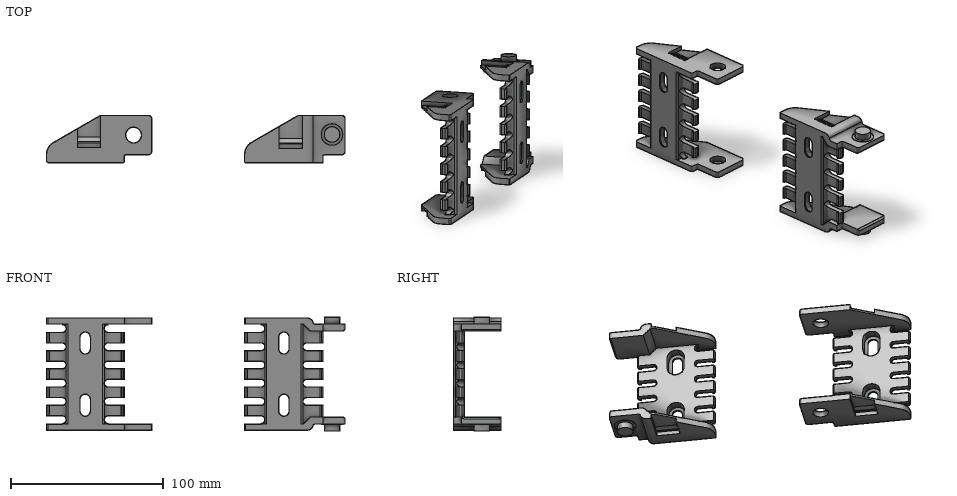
import cadquery as cq
import math

TOTAL_LENGTH = 195.5
DEPTH = 31.0
HEIGHT = 73.5
FLANGE = 4.1
TOP = HEIGHT / 2
FLANGE_INSIDE = TOP - FLANGE

WEB_HALF_WIDTH = 11.3
WEB_DEPTH = 7.0
WEB_CHAMFER = 1.2
FINGER_FRONT = 3.7
FINGER_ROOT_RADIUS = 2.0
FINGER_WIDTH = 7.0
FINGER_PITCH = 12.0
FINGER_COUNT = 5
GAP_WIDTH = FINGER_PITCH - FINGER_WIDTH
GAP_REACH = 12.5
RIGHT_REACH = 25.6

TIP_LENGTH = 2.2
TIP_CREST_START = 2.0
TIP_CREST_END = 1.0
TIP_CREST_Y = 2.3
TIP_BACK_CHAMFER = (0.8, 1.5)

SLOT_WIDTH = 6.6
SLOT_LENGTH = 14.3
SLOT_OFFSET = 20.3
SLOT_LIP = 1.0
SLOT_RELIEF = 2.3

SLOPE_ANGLE = 30.0
NOSE_RADIUS = 9.4
STEP_DEPTH = 5.3
STEP_RADIUS = 1.2
ARM_CORNER_RADIUS = 2.2

POCKET_DEPTH = 2.7
RIDGE_HEIGHT = 1.2
RIDGE_RAMP = 3.0

FEMALE_LEFT_REACH = 25.5
FEMALE_LENGTH = 69.0
FEMALE_SLOPE_END = 35.4
FEMALE_POCKET = (20.5, FEMALE_SLOPE_END)
FEMALE_RIDGE = (10.0, 13.0, 14.0)
FEMALE_FOOT_CHAMFER = 1.2
FOOT_RADIUS = 1.2
HOLE_DIAMETER = 10.2
HOLE_X = 57.0
HOLE_Y = 18.2

MALE_LEFT_REACH = 25.8
MALE_LENGTH = 65.9
MALE_SLOPE_END = 35.2
MALE_POCKET = (22.5, 38.0)
MALE_RIDGE = (9.4, 12.3, 13.0)
MALE_FOOT_CHAMFER = 0.5
PIN_DIAMETER = 10.2
PIN_SPAN = 74.5
PIN_TOP = PIN_SPAN / 2
PIN_X = 57.3
PIN_Y = 18.5
BOSS_DIAMETER = 14.0
BOSS_HEIGHT = 0.2
ARM_OUTSIDE = FLANGE_INSIDE
ARM_INSIDE = 28.2
JOG_START = 41.3
JOG_CROWN = (43.4, 36.0)
JOG_MIDDLE = (44.8, 34.5)
INNER_JOG = (38.5, 43.0)
ARM_TIP_CHAMFER = 1.2


def both_ends(shape):
    """The shape and its mirror image across z = 0."""
    return shape.union(shape.mirror("XY"))


def web_half(reach, gap_count):
    """Right half of the web with its comb fingers, x = 0 at the web middle.

    One gap more than there are fingers frees the outer fingers from the flanges;
    one gap fewer leaves them joined to the arms.
    """
    edge = WEB_HALF_WIDTH + WEB_CHAMFER
    turn = FINGER_ROOT_RADIUS * (1 - math.sqrt(0.5))
    back_x, back_y = TIP_BACK_CHAMFER
    profile = (
        cq.Workplane("XY")
        .moveTo(0, 0)
        .lineTo(WEB_HALF_WIDTH, 0)
        .lineTo(edge, WEB_CHAMFER)
        .lineTo(edge, FINGER_FRONT - FINGER_ROOT_RADIUS)
        .threePointArc(
            (edge + turn, FINGER_FRONT - turn),
            (edge + FINGER_ROOT_RADIUS, FINGER_FRONT),
        )
        .lineTo(reach - TIP_LENGTH, FINGER_FRONT)
        .lineTo(reach - TIP_CREST_START, TIP_CREST_Y)
        .lineTo(reach - TIP_CREST_END, TIP_CREST_Y)
        .lineTo(reach, FINGER_FRONT)
        .lineTo(reach, WEB_DEPTH - back_y)
        .lineTo(reach - back_x, WEB_DEPTH)
        .lineTo(0, WEB_DEPTH)
        .close()
    )
    half = profile.extrude(FLANGE_INSIDE, both=True)
    for number in range(gap_count):
        z = (number - (gap_count - 1) / 2) * FINGER_PITCH
        gap = (
            cq.Workplane("XZ", origin=(GAP_REACH + reach / 2, 0, z))
            .slot2D(reach, GAP_WIDTH)
            .extrude(-WEB_DEPTH)
        )
        half = half.cut(gap)
    if gap_count > FINGER_COUNT:
        outer_gap = FINGER_COUNT / 2 * FINGER_PITCH
        sliver = (
            cq.Workplane("XY", origin=(GAP_REACH + GAP_WIDTH / 2, 0, outer_gap))
            .box(reach, WEB_DEPTH, FLANGE_INSIDE - outer_gap, centered=False)
        )
        half = half.cut(both_ends(sliver))
    return half


def comb_web(left_reach, right_gap_count):
    """Web with fingers on both sides and two screw slots, left end at x = 0."""
    left_half = web_half(left_reach, FINGER_COUNT + 1).mirror("YZ")
    web = web_half(RIGHT_REACH, right_gap_count).union(left_half)
    for depth, margin in ((0, 0), (SLOT_LIP, SLOT_RELIEF)):
        slots = (
            cq.Workplane("XZ", origin=(0, depth, 0))
            .pushPoints([(0, SLOT_OFFSET), (0, -SLOT_OFFSET)])
            .slot2D(SLOT_LENGTH + 2 * margin, SLOT_WIDTH + 2 * margin, 90)
            .extrude(-WEB_DEPTH)
        )
        web = web.cut(slots)
    return web.translate((left_reach, 0, 0))


def flange_plan(length, foot_end, slope_end, foot_chamfer):
    """Flange outline as a tall prism."""
    slope_start = DEPTH - slope_end * math.tan(math.radians(SLOPE_ANGLE))
    plan = (
        cq.Workplane("XY", origin=(0, 0, -TOP))
        .moveTo(0, 0)
        .lineTo(foot_end, 0)
        .lineTo(foot_end, STEP_DEPTH)
        .lineTo(length, STEP_DEPTH)
        .lineTo(length, DEPTH)
        .lineTo(slope_end, DEPTH)
        .lineTo(0, slope_start)
        .close()
        .extrude(HEIGHT)
    )
    plan = plan.edges("|Z and >X").fillet(ARM_CORNER_RADIUS)
    plan = plan.edges(cq.NearestToPointSelector((foot_end, STEP_DEPTH, 0))).fillet(STEP_RADIUS)
    plan = plan.edges(cq.NearestToPointSelector((0, slope_start, 0))).fillet(NOSE_RADIUS)
    return plan.edges(cq.NearestToPointSelector((0, 0, 0))).chamfer(foot_chamfer)


def latch_pocket(pocket, ridge):
    """Cutter for the pocket with a ramped ridge on its floor."""
    left, right = pocket
    wall, ridge_front, crest_end = ridge
    floor = TOP - POCKET_DEPTH
    crest = floor + RIDGE_HEIGHT
    return (
        cq.Workplane("YZ", origin=(left, 0, 0))
        .moveTo(wall, TOP)
        .lineTo(wall, floor)
        .lineTo(ridge_front, floor)
        .lineTo(ridge_front, crest)
        .lineTo(crest_end, crest)
        .lineTo(crest_end + RIDGE_RAMP, floor)
        .lineTo(DEPTH, floor)
        .lineTo(DEPTH, TOP)
        .close()
        .extrude(right - left)
    )


def female_bracket():
    """Bracket with flat arms and a hole in each."""
    foot_end = FEMALE_LEFT_REACH + RIGHT_REACH
    plan = flange_plan(FEMALE_LENGTH, foot_end, FEMALE_SLOPE_END, FEMALE_FOOT_CHAMFER)
    plan = plan.edges(cq.NearestToPointSelector((foot_end, 0, 0))).fillet(FOOT_RADIUS)
    slab = (
        cq.Workplane("XY", origin=(0, 0, FLANGE_INSIDE))
        .box(FEMALE_LENGTH, DEPTH, FLANGE, centered=False)
    )
    flange = plan.intersect(slab).cut(latch_pocket(FEMALE_POCKET, FEMALE_RIDGE))
    hole = (
        cq.Workplane("XY", origin=(HOLE_X, HOLE_Y, 0))
        .circle(HOLE_DIAMETER / 2)
        .extrude(TOP)
    )
    return comb_web(FEMALE_LEFT_REACH, FINGER_COUNT + 1).union(both_ends(flange.cut(hole)))


def male_bracket():
    """Bracket with arms stepped inwards and a pin on each."""
    foot_end = MALE_LEFT_REACH + RIGHT_REACH
    plan = flange_plan(MALE_LENGTH, foot_end, MALE_SLOPE_END, MALE_FOOT_CHAMFER)
    middle_x, middle_z = JOG_MIDDLE
    jog_radius = middle_z - ARM_OUTSIDE
    jog_turn = jog_radius * (1 - math.sqrt(0.5))
    jog = (
        cq.Workplane("XZ")
        .moveTo(0, TOP)
        .lineTo(JOG_START, TOP)
        .threePointArc(JOG_CROWN, JOG_MIDDLE)
        .threePointArc(
            (middle_x + jog_turn, ARM_OUTSIDE + jog_turn),
            (middle_x + jog_radius, ARM_OUTSIDE),
        )
        .lineTo(MALE_LENGTH, ARM_OUTSIDE)
        .lineTo(MALE_LENGTH, ARM_INSIDE + ARM_TIP_CHAMFER)
        .lineTo(MALE_LENGTH - ARM_TIP_CHAMFER, ARM_INSIDE)
        .lineTo(INNER_JOG[1], ARM_INSIDE)
        .lineTo(INNER_JOG[0], FLANGE_INSIDE)
        .lineTo(0, FLANGE_INSIDE)
        .close()
        .extrude(-DEPTH)
    )
    flange = plan.intersect(jog).cut(latch_pocket(MALE_POCKET, MALE_RIDGE))
    base = cq.Workplane("XY", origin=(PIN_X, PIN_Y, ARM_OUTSIDE))
    boss = base.circle(BOSS_DIAMETER / 2).extrude(BOSS_HEIGHT)
    pin = base.circle(PIN_DIAMETER / 2).extrude(PIN_TOP - ARM_OUTSIDE)
    flange = flange.union(boss).union(pin)
    return comb_web(MALE_LEFT_REACH, FINGER_COUNT - 1).union(both_ends(flange))


female = female_bracket()
male = male_bracket().translate((TOTAL_LENGTH - MALE_LENGTH, 0, 0))

result = cq.Compound.makeCompound([female.val(), male.val()])